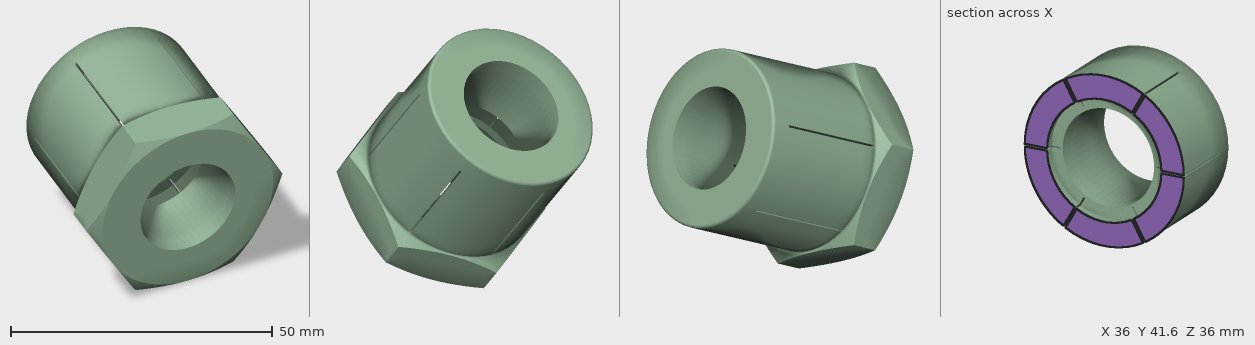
import cadquery as cq
import math


across_flats = 36.0
total_length = 36.0
bore_radius = 10.0
nut_chamfer_angle = 30.0
collar_length = 2.85
nose_length = 5.45
collar_radius = 12.47
pilot_radius = 11.65

sleeve_length = 27.0
sleeve_radius = 17.5
end_rounding = 0.62
slot_count = 6
slot_width = 0.4
slot_start = 4.07

cone_large_radius = 14.92
cone_length = 16.3
cone_half_angle = 15.0

corner_radius = across_flats / 2 / math.cos(math.radians(30))
flat_radius = across_flats / 2
nut_chamfer_depth = (corner_radius - flat_radius) * math.tan(math.radians(nut_chamfer_angle))
nut_length = total_length - sleeve_length
cone_small_radius = cone_large_radius - cone_length * math.tan(math.radians(cone_half_angle))
collar_start = sleeve_length - collar_length
pilot_start = sleeve_length - nose_length


def revolved(profile):
    """Solid of revolution about X from (x, radius) points."""
    return cq.Workplane("XY").polyline(profile).close().revolve(360, (0, 0, 0), (1, 0, 0))


def cylinder(start, end, radius):
    """Solid cylinder along X between two positions."""
    return cq.Workplane("YZ", origin=(start, 0, 0)).circle(radius).extrude(end - start)


def full_cone():
    """Cone of the bush, also the matching seat in the sleeve."""
    return revolved([
        (0, 0),
        (0, cone_large_radius),
        (cone_length, cone_small_radius),
        (cone_length, 0),
    ])


def make_slot(angle):
    """Radial cutter from the axis outward, open towards the nut."""
    slot_length = sleeve_length - slot_start
    cutter_height = 2 * sleeve_radius
    return (
        cq.Workplane("XY", origin=(slot_start, 0, 0))
        .box(slot_length, cutter_height, slot_width, centered=(False, False, True))
        .rotate((0, 0, 0), (1, 0, 0), angle)
    )


def make_sleeve():
    """Sleeve with a conical seat, a straight bore for the nose and six slots."""
    sleeve = cylinder(0, sleeve_length, sleeve_radius).faces("<X").edges().fillet(end_rounding)
    sleeve = sleeve.cut(full_cone())
    sleeve = sleeve.cut(cylinder(cone_length, sleeve_length, collar_radius))
    for i in range(slot_count):
        sleeve = sleeve.cut(make_slot(i * 360 / slot_count))
    return sleeve


def make_cone_bush():
    """Bored cone seated in the left end of the sleeve."""
    return full_cone().cut(cylinder(0, cone_length, bore_radius))


def make_hexagon():
    """Hexagon with its corners chamfered on both end faces."""
    blank = cq.Workplane("YZ", origin=(sleeve_length, 0, 0)).polygon(6, 2 * corner_radius).extrude(nut_length)
    chamfer_envelope = revolved([
        (sleeve_length, 0),
        (sleeve_length, flat_radius),
        (sleeve_length + nut_chamfer_depth, corner_radius),
        (total_length - nut_chamfer_depth, corner_radius),
        (total_length, flat_radius),
        (total_length, 0),
    ])
    return blank.intersect(chamfer_envelope)


def make_nut():
    """Hexagon nut with a stepped nose and a through bore."""
    collar = cylinder(collar_start, sleeve_length, collar_radius)
    pilot = cylinder(pilot_start, collar_start, pilot_radius)
    bore = cylinder(pilot_start, total_length, bore_radius)
    return make_hexagon().union(collar).union(pilot).cut(bore)


sleeve = make_sleeve()
cone_bush = make_cone_bush()
nut = make_nut()

result = cq.Compound.makeCompound([body.solids().val() for body in (sleeve, cone_bush, nut)])